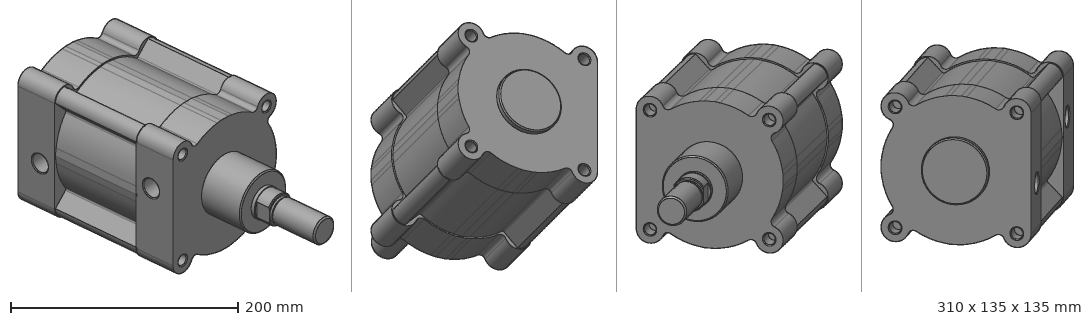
import cadquery as cq
import math


overall_length = 310.0
rear_boss_length = 6.0
cap_length = 44.0
tube_length = 97.0
front_boss_length = 46.2
rear_cap_start = rear_boss_length
tube_start = rear_cap_start + cap_length
front_cap_start = tube_start + tube_length
front_boss_start = front_cap_start + cap_length
rod_start = front_boss_start + front_boss_length

cap_size = 135.0
cap_radius = cap_size / 2
lug_radius = 12.7
lug_offset = cap_radius - lug_radius
lug_blend_radius = 5.0
flat_pad_depth = 19.2
cap_crown_width = 19.2
cap_crown_flat_width = 10.0
boss_diameter = 60.5
boss_chamfer = 1.2

lug_hole_radius = 5.3
lug_hole_chamfer = 1.0
lug_hole_depth = 15.5

port_radius = 9.3
port_chamfer = 1.0
port_depth = 24.8
port_from_outer_face = 26.5
port_offset_z = 14.5

tube_inset = 1.0
tube_half_height = cap_radius - tube_inset
tube_ridge_width = 15.8
rib_end_radius = 12.0
rib_end_offset = tube_half_height - rib_end_radius
rib_depth = 24.8
rib_root_fillet = 2.0

collar_diameter = 32.2
collar_length = 3.7
wrench_diameter = 31.3
wrench_length = 15.8
wrench_chamfer = 1.0
wrench_flat_gap = 1.0
relief_length = 3.7
relief_shoulder_diameter = 26.5
relief_diameter = 24.5
thread_diameter = 27.0
thread_chamfer = 1.5
across_flats = thread_diameter

lug_centres = [(sy * lug_offset, sz * lug_offset) for sy in (-1, 1) for sz in (-1, 1)]


def section_at(x):
    """Cross-section plane at x: local x is +Y, local y is +Z, normal is +X."""
    return cq.Workplane("YZ", origin=(x, 0, 0))


def drill(radius, chamfer, depth):
    """Cutter for a chamfered blind hole that enters at the origin and runs along +X."""
    mouth_radius = radius + chamfer
    return (
        cq.Workplane("XY")
        .polyline([(0, 0), (0, mouth_radius), (chamfer, radius), (depth, radius), (depth, 0)])
        .close()
        .revolve(360, (0, 0, 0), (1, 0, 0))
    )


def cap_crown(x, angle):
    """Shallow raised land on the round body, with sides tangent to it, turned about X."""
    half_width = cap_crown_width / 2
    half_flat = cap_crown_flat_width / 2
    side_height = math.sqrt(cap_radius**2 - half_width**2)
    outline = [
        (-half_width, 0),
        (-half_width, side_height),
        (-half_flat, cap_radius),
        (half_flat, cap_radius),
        (half_width, side_height),
        (half_width, 0),
    ]
    crown = section_at(x).polyline(outline).close().extrude(cap_length)
    return crown.rotate((0, 0, 0), (1, 0, 0), angle)


def cap_block(x):
    """Cap body without boss and holes, starting at x."""
    block = section_at(x).circle(cap_radius).extrude(cap_length)
    lugs = section_at(x).pushPoints(lug_centres).circle(lug_radius).extrude(cap_length)
    block = block.union(lugs).edges("|X").fillet(lug_blend_radius)
    for angle in (-90, 0, 180):
        block = block.union(cap_crown(x, angle))

    pad = (
        section_at(x)
        .center(flat_pad_depth / 2 - cap_radius, 0)
        .rect(flat_pad_depth, 2 * lug_offset)
        .extrude(cap_length)
    )
    return block.union(pad)


def lug_drills(face_x, inward_angle):
    """Cutters for the four lug holes; inward_angle about Z turns them into the cap."""
    cutter = drill(lug_hole_radius, lug_hole_chamfer, lug_hole_depth)
    cutter = cutter.rotate((0, 0, 0), (0, 0, 1), inward_angle)
    return [cutter.translate((face_x, y, z)) for y, z in lug_centres]


def port_drill(x, z):
    """Cutter for an air port that enters the flat side in the +Y direction."""
    cutter = drill(port_radius, port_chamfer, port_depth)
    return cutter.rotate((0, 0, 0), (0, 0, 1), 90).translate((x, -cap_radius, z))


def make_rear_cap():
    boss = section_at(0).circle(boss_diameter / 2).extrude(rear_boss_length)
    boss = boss.faces("<X").chamfer(boss_chamfer)
    cap = cap_block(rear_cap_start).union(boss)
    for cutter in lug_drills(rear_cap_start, 0):
        cap = cap.cut(cutter)
    return cap.cut(port_drill(rear_cap_start + port_from_outer_face, -port_offset_z))


def make_front_cap():
    boss = section_at(front_boss_start).circle(boss_diameter / 2).extrude(front_boss_length)
    boss = boss.faces(">X").chamfer(boss_chamfer)
    cap = cap_block(front_cap_start).union(boss)
    for cutter in lug_drills(front_boss_start, 180):
        cap = cap.cut(cutter)
    return cap.cut(port_drill(front_boss_start - port_from_outer_face, port_offset_z))


def tube_rib(angle):
    """Rib along the +Y+Z diagonal with a rounded end, turned about X."""
    edge = tube_half_height
    corner = rib_end_offset
    arc_middle = corner + rib_end_radius * math.sqrt(0.5)
    rib = (
        section_at(tube_start)
        .moveTo(edge - rib_depth, corner - rib_depth)
        .lineTo(edge, corner)
        .threePointArc((arc_middle, arc_middle), (corner, edge))
        .lineTo(corner - rib_depth, edge - rib_depth)
        .close()
        .extrude(tube_length)
    )
    return rib.rotate((0, 0, 0), (1, 0, 0), angle)


def make_tube():
    half_ridge = tube_ridge_width / 2
    ridge_angle = math.asin(tube_ridge_width / tube_half_height) / 2
    radius = tube_half_height * math.cos(ridge_angle)
    ridge_foot = radius * math.cos(ridge_angle)
    quarter_turns = (0, 90, 180, 270)

    tube = section_at(tube_start).circle(radius).extrude(tube_length)
    for angle in quarter_turns:
        tube = tube.union(tube_rib(angle))
    root_zone = cq.selectors.BoxSelector(
        (tube_start, -rib_end_offset, -rib_end_offset),
        (tube_start + tube_length, rib_end_offset, rib_end_offset),
    )
    tube = tube.edges("|X").edges(root_zone).fillet(rib_root_fillet)
    ridge_outline = [
        (-half_ridge, 0),
        (-half_ridge, ridge_foot),
        (0, tube_half_height),
        (half_ridge, ridge_foot),
        (half_ridge, 0),
    ]
    ridge = section_at(tube_start).polyline(ridge_outline).close().extrude(tube_length)
    for angle in quarter_turns:
        tube = tube.union(ridge.rotate((0, 0, 0), (1, 0, 0), angle))
    return tube


def make_rod():
    collar_end = rod_start + collar_length
    wrench_end = collar_end + wrench_length
    relief_middle = wrench_end + relief_length / 2
    thread_start = wrench_end + relief_length
    profile = [
        (rod_start, 0),
        (rod_start, collar_diameter / 2),
        (collar_end, collar_diameter / 2),
        (collar_end, wrench_diameter / 2),
        (wrench_end - wrench_chamfer, wrench_diameter / 2),
        (wrench_end, wrench_diameter / 2 - wrench_chamfer),
        (wrench_end, relief_shoulder_diameter / 2),
        (relief_middle, relief_diameter / 2),
        (thread_start, thread_diameter / 2),
        (overall_length - thread_chamfer, thread_diameter / 2),
        (overall_length, thread_diameter / 2 - thread_chamfer),
        (overall_length, 0),
    ]
    rod = cq.Workplane("XY").polyline(profile).close().revolve(360, (0, 0, 0), (1, 0, 0))

    flat_start = collar_end + wrench_flat_gap
    flat_length = wrench_end - flat_start
    for side in (-1, 1):
        cutter = cq.Workplane("XY").box(flat_length, wrench_diameter, wrench_diameter)
        offset_y = side * (across_flats + wrench_diameter) / 2
        rod = rod.cut(cutter.translate((flat_start + flat_length / 2, offset_y, 0)))
    return rod


rear_cap = make_rear_cap()
tube = make_tube()
front_cap = make_front_cap()
rod = make_rod()

result = cq.Compound.makeCompound([rear_cap.val(), tube.val(), front_cap.val(), rod.val()])